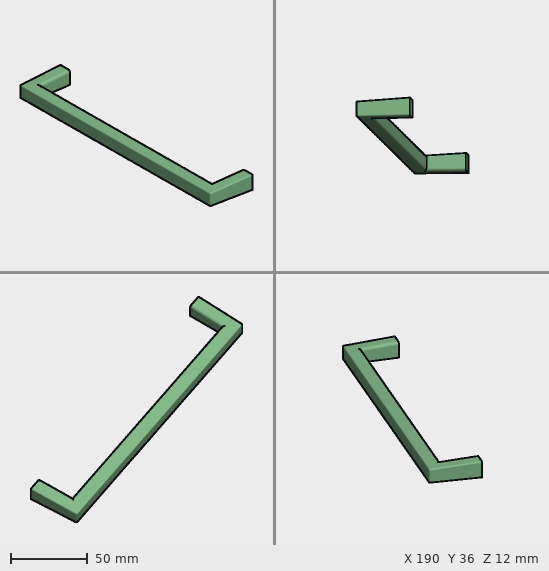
import cadquery as cq

length = 190.0
depth = 36.0
foot_height = 12.0
front_height = 10.0

bar_depth = 10.0
outer_lean = 1.1
foot_width = 10.0
inner_lean = 0.5

outer_radius = 1.0
inner_radius = 1.9

back_y = depth / 2
front_y = -depth / 2
bar_back_y = front_y + bar_depth
outer_back_x = length / 2
outer_front_x = outer_back_x - outer_lean
inner_back_x = outer_back_x - foot_width
inner_corner_x = inner_back_x - inner_lean


def plan_prism():
    """U-shaped outline with tapered legs, extruded to the full foot height."""
    return (
        cq.Workplane("XY")
        .moveTo(-outer_back_x, back_y)
        .lineTo(-outer_front_x, front_y)
        .lineTo(outer_front_x, front_y)
        .lineTo(outer_back_x, back_y)
        .lineTo(inner_back_x, back_y)
        .lineTo(inner_corner_x, bar_back_y)
        .lineTo(-inner_corner_x, bar_back_y)
        .lineTo(-inner_back_x, back_y)
        .close()
        .extrude(foot_height / 2, both=True)
    )


def height_wedge():
    """Wedge that thins the handle from the feet to the front of the bar."""
    return (
        cq.Workplane("YZ")
        .moveTo(front_y, -front_height / 2)
        .lineTo(back_y, -foot_height / 2)
        .lineTo(back_y, foot_height / 2)
        .lineTo(front_y, front_height / 2)
        .close()
        .extrude(length / 2, both=True)
    )


def is_outer(edge):
    """True for an edge on the front or outer side faces."""
    center = edge.Center()
    on_front = abs(center.y - front_y) < outer_radius
    on_side = abs(center.x) > inner_back_x + foot_width / 2
    return on_front or on_side


def long_edges(body):
    """All edges except the vertical ones and those bounding the mounting faces."""
    return [
        edge
        for edge in body.edges("not(|Z)").vals()
        if edge.Center().y < back_y - outer_radius
    ]


def round_edges(body):
    """Round the outer edges, with a larger radius along the inside of the U."""
    outer_edges = [edge for edge in long_edges(body) if is_outer(edge)]
    front_corners = body.edges("|Z").edges("<Y").vals()
    body = body.newObject(outer_edges + front_corners).fillet(outer_radius)
    inner_edges = [
        edge
        for edge in long_edges(body)
        if abs(edge.Center().x) < inner_back_x
        and abs(edge.Center().y - bar_back_y) < outer_radius
        or abs(abs(edge.Center().x) - inner_back_x) < inner_lean
        and edge.Center().y > bar_back_y
    ]
    return body.newObject(inner_edges).fillet(inner_radius)


result = round_edges(plan_prism().intersect(height_wedge()))